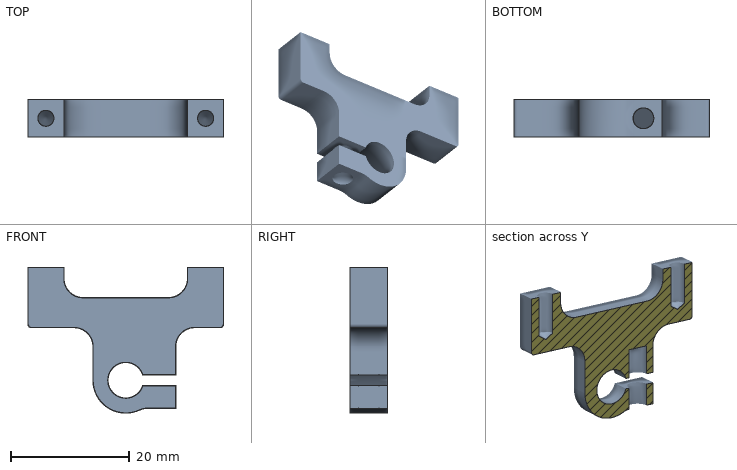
import cadquery as cq
import math

bar_width = 33.02
thickness = 6.35
total_height = 24.59
bar_height = 10.16
ear_width = 6.1
saddle_depth = 5.08
corner_radius = 0.6
blend_radius = 3.175

bore_radius = 3.0
clamp_radius = 5.55
bore_drop = total_height - clamp_radius
jaw_reach = 8.45
jaw_drop = 23.78
jaw_blend_radius = 3.175
slot_width = 1.78

ear_hole_diameter = 2.7
ear_hole_spacing = 26.97
ear_hole_depth = 7.0
drill_point_angle = 118.0
screw_x = 5.35
screw_diameter = 3.5
screw_depth_above_slot = 5.0

half_bar = bar_width / 2
half_saddle = half_bar - ear_width
slot_top = -bore_drop + slot_width / 2


def make_profile():
    """T-shaped outline; the rounded clamp bottom flows into the flat jaw."""
    blend_z = -jaw_drop - jaw_blend_radius
    centre_distance = clamp_radius + jaw_blend_radius
    blend_x = math.sqrt(centre_distance**2 - (blend_z + bore_drop) ** 2)
    touch_x = blend_x * clamp_radius / centre_distance
    touch_z = -bore_drop + (blend_z + bore_drop) * clamp_radius / centre_distance
    diagonal = clamp_radius * math.sqrt(0.5)

    outline = (
        cq.Workplane("XZ", origin=(0, thickness / 2, 0))
        .moveTo(-half_bar, 0)
        .lineTo(-half_saddle, 0)
        .lineTo(-half_saddle, -saddle_depth)
        .lineTo(half_saddle, -saddle_depth)
        .lineTo(half_saddle, 0)
        .lineTo(half_bar, 0)
        .lineTo(half_bar, -bar_height)
        .lineTo(jaw_reach, -bar_height)
        .lineTo(jaw_reach, -jaw_drop)
        .lineTo(blend_x, -jaw_drop)
        .tangentArcPoint((touch_x, touch_z), relative=False)
        .threePointArc(
            (-diagonal, -bore_drop - diagonal),
            (-clamp_radius, -bore_drop),
        )
        .lineTo(-clamp_radius, -bar_height)
        .lineTo(-half_bar, -bar_height)
        .close()
    )
    return outline.extrude(thickness)


def edges_at(body, points):
    """Edges running along Y through the given (x, z) points."""
    found = []
    for x, z in points:
        found += body.edges(cq.selectors.NearestToPointSelector((x, 0, z))).vals()
    return body.newObject(found)


def round_corners(body):
    inner_corners = [
        (-half_saddle, -saddle_depth),
        (half_saddle, -saddle_depth),
        (-clamp_radius, -bar_height),
        (jaw_reach, -bar_height),
    ]
    outer_corners = [(-half_bar, -bar_height), (half_bar, -bar_height)]
    body = edges_at(body, inner_corners).fillet(blend_radius)
    return edges_at(body, outer_corners).fillet(corner_radius)


def make_clamp_opening():
    """Bore plus the slot that splits the clamp on the +X side."""
    bore = (
        cq.Workplane("XZ", origin=(0, thickness / 2, 0))
        .center(0, -bore_drop)
        .circle(bore_radius)
        .extrude(thickness)
    )
    slot = (
        cq.Workplane("XY", origin=(0, 0, -bore_drop))
        .box(jaw_reach, thickness, slot_width, centered=(False, True, True))
    )
    return bore.union(slot)


def make_ear_hole(x):
    """Blind hole drilled down from the ear top, ending in a drill point."""
    radius = ear_hole_diameter / 2
    point_depth = radius / math.tan(math.radians(drill_point_angle / 2))
    return (
        cq.Workplane("XZ")
        .moveTo(0, 0)
        .lineTo(radius, 0)
        .lineTo(radius, -ear_hole_depth)
        .lineTo(0, -ear_hole_depth - point_depth)
        .close()
        .revolve(360, (0, 0, 0), (0, 1, 0))
        .translate((x, 0, 0))
    )


def make_screw_hole():
    """Clamp screw hole, up through the lower jaw and blind above the slot."""
    height = jaw_drop + slot_top + screw_depth_above_slot
    return (
        cq.Workplane("XY", origin=(screw_x, 0, -jaw_drop))
        .circle(screw_diameter / 2)
        .extrude(height)
    )


result = round_corners(make_profile())
result = result.cut(make_clamp_opening())
result = result.cut(make_screw_hole())
for side in (-1, 1):
    result = result.cut(make_ear_hole(side * ear_hole_spacing / 2))